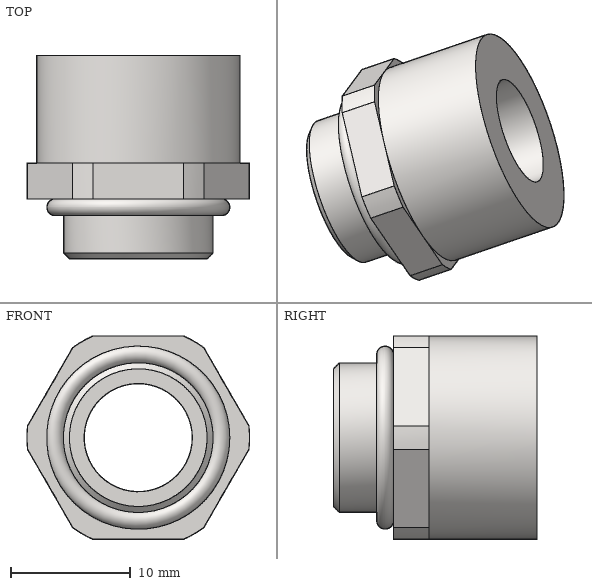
import cadquery as cq

body_diameter = 17.0
total_length = 17.0
hex_across_flats = body_diameter
hex_corner_diameter = 18.59

hex_thickness = 3.0
spigot_length = 5.0
body_length = total_length - hex_thickness - spigot_length

spigot_diameter = 12.5
spigot_chamfer = 0.5
bore_diameter = 9.0
ring_section_diameter = 1.41
ring_embed = 0.02

hex_front = spigot_length
body_front = hex_front + hex_thickness


def cylinder(diameter, start, length):
    """Solid cylinder on the Y axis, from start towards +Y."""
    plane = cq.Workplane("XZ", origin=(0, start, 0))
    return plane.circle(diameter / 2).extrude(-length)


def hex_collar():
    """Hexagonal collar with flats facing +Z and -Z and corners rounded by a coaxial cylinder."""
    plane = cq.Workplane("XZ", origin=(0, hex_front, 0))
    prism = plane.polygon(6, hex_across_flats, circumscribed=True).extrude(-hex_thickness)
    prism = prism.rotate((0, 0, 0), (0, 1, 0), 30)
    return prism.intersect(cylinder(hex_corner_diameter, hex_front, hex_thickness))


def sealing_ring():
    """O-ring seated in the corner between the spigot and the hexagon."""
    section_radius = ring_section_diameter / 2
    center_radius = spigot_diameter / 2 + section_radius - ring_embed
    center_y = hex_front - section_radius + ring_embed
    section = cq.Workplane("XY").center(center_radius, center_y).circle(section_radius)
    return section.revolve(360, (-center_radius, 0), (-center_radius, 1))


body = cylinder(body_diameter, body_front, body_length)
spigot = cylinder(spigot_diameter, 0, spigot_length).faces("<Y").chamfer(spigot_chamfer)
bore = cylinder(bore_diameter, 0, total_length)

result = body.union(hex_collar()).union(spigot).union(sealing_ring()).cut(bore)